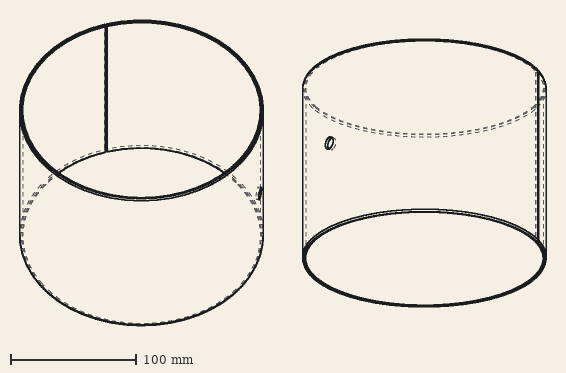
import math
import cadquery as cq

OUTER_DIAMETER = 195.0
WALL = 2.5
HEIGHT = 150.0
OUTER_BEVEL_HEIGHT = 1.8
OUTER_BEVEL_ANGLE = 20.0
INNER_BEVEL = 0.8
SLIT_ANGLE = 1.0
HOLE_DIAMETER = 10.0
HOLE_ANGLE = 59.1

OUTER_RADIUS = OUTER_DIAMETER / 2
INNER_RADIUS = OUTER_RADIUS - WALL
OUTER_BEVEL_DEPTH = OUTER_BEVEL_HEIGHT * math.tan(math.radians(OUTER_BEVEL_ANGLE))
RIM_OUTER_RADIUS = OUTER_RADIUS - OUTER_BEVEL_DEPTH
RIM_INNER_RADIUS = INNER_RADIUS + INNER_BEVEL


def make_band():
    """Revolve the wall section, bevelled inside and outside at both rims.

    The section starts at -X on the Y = 0 plane and turns through -Y, stopping
    short of a full turn so that a narrow slit stays open just on the +Y side.
    """
    section = [
        (-RIM_INNER_RADIUS, 0),
        (-RIM_OUTER_RADIUS, 0),
        (-OUTER_RADIUS, OUTER_BEVEL_HEIGHT),
        (-OUTER_RADIUS, HEIGHT - OUTER_BEVEL_HEIGHT),
        (-RIM_OUTER_RADIUS, HEIGHT),
        (-RIM_INNER_RADIUS, HEIGHT),
        (-INNER_RADIUS, HEIGHT - INNER_BEVEL),
        (-INNER_RADIUS, INNER_BEVEL),
    ]
    profile = cq.Workplane("XZ").polyline(section).close()
    return profile.revolve(360 - SLIT_ANGLE, (0, 0), (0, 1))


def make_hole_cutter():
    """Radial cylinder at mid-height, from the axis out through the wall."""
    angle = math.radians(HOLE_ANGLE)
    direction = cq.Vector(math.cos(angle), math.sin(angle), 0)
    hole_plane = cq.Plane(origin=(0, 0, HEIGHT / 2), xDir=(0, 0, 1), normal=direction)
    return cq.Workplane(hole_plane).circle(HOLE_DIAMETER / 2).extrude(OUTER_DIAMETER)


result = make_band().cut(make_hole_cutter())